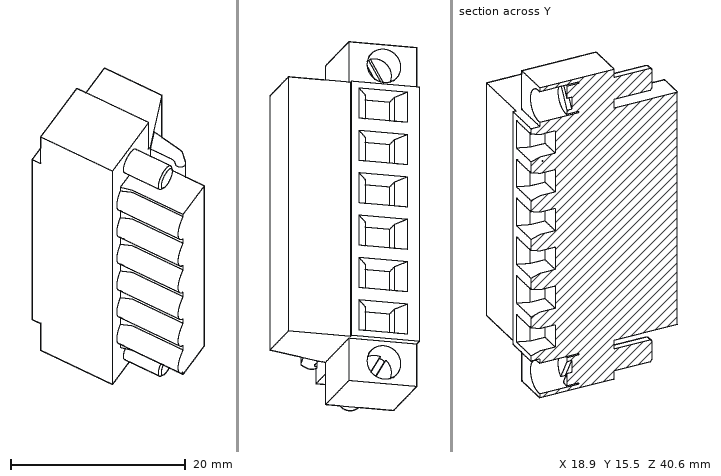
import cadquery as cq
import math

PITCH = 5.08
POLES = 6
TOTAL_LENGTH = 18.85
TOTAL_DEPTH = 15.5

HOUSING_X = 10.7
HOUSING_HEIGHT = POLES * PITCH
FRONT_DEPTH = 8.1
REAR_SETBACK = 0.4
SLOPE_TOP_X = 8.05
SLOPE_BOTTOM_Y = 8.45

FLANGE_SETBACK = 1.13
FLANGE_HEIGHT = PITCH
SCREW_Y = 3.92
SCREW_Z = (HOUSING_HEIGHT + FLANGE_HEIGHT) / 2
SCREW_BORE_DIAMETER = 4.0
SCREW_BORE_DEPTH = 5.0
SCREW_BORE_END_X = FLANGE_SETBACK + SCREW_BORE_DEPTH
HEAD_DIAMETER = 3.8
HEAD_HEIGHT = 1.5
SLOT_WIDTH = 0.75
SLOT_DEPTH = 0.6
SLOT_ANGLE = 30.0
PIN_DIAMETER = 3.0
PIN_END_X = 15.6
PIN_CHAMFER = 0.25

ENTRY_Y_RANGE = (1.47, 7.25)
ENTRY_HEIGHT = 3.6
THROAT_Y_RANGE = (2.67, 6.12)
THROAT_HEIGHT = 2.85
FUNNEL_DEPTH = 1.2
THROAT_DEPTH = 1.9

PLUG_FRONT_Y = 0.97
PLUG_BACK_Y = 6.86
PLATE_FRONT_Y = 2.09
PLATE_ROOT_Y = 1.74
RAMP_LENGTH = 1.4
BARREL_RADIUS = 2.6

LATCH_END_INSET = 0.5
LATCH_TOP_Y = 10.87
LATCH_ELBOW = (13.95, 10.12)
LATCH_BOTTOM_Y = 8.55
LATCH_TIP = (14.64, 8.58)
LATCH_TIP_RADIUS = 0.6
LATCH_BEND_RADIUS = 0.8

POLE_POSITIONS = [(i - (POLES - 1) / 2) * PITCH for i in range(POLES)]


def block(x_range, y_range, height, z_center=0.0):
    """Box given by its X and Y limits and its centred Z height."""
    length = x_range[1] - x_range[0]
    depth = y_range[1] - y_range[0]
    center = (x_range[0] + length / 2, y_range[0] + depth / 2, z_center)
    return cq.Workplane("XY").box(length, depth, height).translate(center)


def prism(sketch, height):
    """Extrude an XY outline symmetrically about Z = 0."""
    return sketch.close().extrude(height / 2, both=True)


def rod(diameter, x_start, x_end, y, z):
    """Cylinder along X."""
    return (
        cq.Workplane("YZ", origin=(x_start, y, z))
        .circle(diameter / 2)
        .extrude(x_end - x_start)
    )


def make_housing():
    outline = cq.Workplane("XY").polyline([
        (0, 0),
        (HOUSING_X, 0),
        (HOUSING_X, SLOPE_BOTTOM_Y),
        (SLOPE_TOP_X, TOTAL_DEPTH),
        (REAR_SETBACK, TOTAL_DEPTH),
        (REAR_SETBACK, FRONT_DEPTH),
        (0, FRONT_DEPTH),
    ])
    flanges = block(
        (FLANGE_SETBACK, HOUSING_X), (0, FRONT_DEPTH), HOUSING_HEIGHT + 2 * FLANGE_HEIGHT
    )
    return prism(outline, HOUSING_HEIGHT).union(flanges)


def make_wire_entry(z):
    """Tapered funnel followed by a straight throat."""
    entry_depth = ENTRY_Y_RANGE[1] - ENTRY_Y_RANGE[0]
    throat_width = THROAT_Y_RANGE[1] - THROAT_Y_RANGE[0]
    entry_center = sum(ENTRY_Y_RANGE) / 2
    throat_center = sum(THROAT_Y_RANGE) / 2
    funnel = (
        cq.Workplane("YZ", origin=(0, entry_center, z))
        .rect(entry_depth, ENTRY_HEIGHT)
        .workplane(offset=FUNNEL_DEPTH)
        .center(throat_center - entry_center, 0)
        .rect(throat_width, THROAT_HEIGHT)
        .loft(ruled=True)
    )
    throat = block((FUNNEL_DEPTH, FUNNEL_DEPTH + THROAT_DEPTH), THROAT_Y_RANGE, THROAT_HEIGHT, z)
    return funnel.union(throat)


def make_plug():
    plate_outline = cq.Workplane("XY").polyline([
        (HOUSING_X, PLATE_ROOT_Y),
        (HOUSING_X + RAMP_LENGTH, PLATE_FRONT_Y),
        (TOTAL_LENGTH, PLATE_FRONT_Y),
        (TOTAL_LENGTH, PLUG_BACK_Y),
        (HOUSING_X, PLUG_BACK_Y),
    ])
    plug = prism(plate_outline, HOUSING_HEIGHT)
    crown_zone = block((HOUSING_X, TOTAL_LENGTH), (PLUG_FRONT_Y, PLATE_FRONT_Y), HOUSING_HEIGHT)
    for z in POLE_POSITIONS:
        barrel = rod(
            2 * BARREL_RADIUS, HOUSING_X, TOTAL_LENGTH, PLUG_FRONT_Y + BARREL_RADIUS, z
        )
        plug = plug.union(barrel.intersect(crown_zone))
    return plug


def make_latch():
    """Arm rooted inside the housing, bent 45 degrees toward the plug to a rounded hook."""
    root_x = SLOPE_TOP_X
    slope_run_per_rise = (HOUSING_X - SLOPE_TOP_X) / (TOTAL_DEPTH - SLOPE_BOTTOM_Y)
    slope_x = SLOPE_TOP_X + (TOTAL_DEPTH - LATCH_TOP_Y) * slope_run_per_rise
    tip_x, tip_y = LATCH_TIP
    offset = LATCH_TIP_RADIUS * math.sqrt(0.5)
    lower_elbow_x = tip_x - offset - (LATCH_BOTTOM_Y - (tip_y - offset))
    outline = (
        cq.Workplane("XY")
        .moveTo(root_x, LATCH_BOTTOM_Y)
        .lineTo(lower_elbow_x, LATCH_BOTTOM_Y)
        .lineTo(tip_x - offset, tip_y - offset)
        .threePointArc((tip_x + offset, tip_y - offset), (tip_x + offset, tip_y + offset))
        .lineTo(*LATCH_ELBOW)
        .lineTo(slope_x, LATCH_TOP_Y)
        .lineTo(root_x, LATCH_TOP_Y)
    )
    latch = prism(outline, HOUSING_HEIGHT - 2 * LATCH_END_INSET)
    for elbow in ((lower_elbow_x, LATCH_BOTTOM_Y), LATCH_ELBOW):
        bend = cq.selectors.NearestToPointSelector((*elbow, 0))
        latch = latch.edges("|Z").edges(bend).fillet(LATCH_BEND_RADIUS)
    return latch


def make_screw_bore(z):
    return rod(SCREW_BORE_DIAMETER, FLANGE_SETBACK, SCREW_BORE_END_X, SCREW_Y, z)


def make_screw(z, slot_angle):
    """Slotted head standing in the flange bore."""
    head_x = SCREW_BORE_END_X - HEAD_HEIGHT
    head = rod(HEAD_DIAMETER, head_x, SCREW_BORE_END_X, SCREW_Y, z)
    slot = (
        cq.Workplane("XY")
        .box(2 * SLOT_DEPTH, SLOT_WIDTH, 2 * HEAD_DIAMETER)
        .rotate((0, 0, 0), (1, 0, 0), slot_angle)
        .translate((head_x, SCREW_Y, z))
    )
    return head.cut(slot)


def make_pin(z):
    """Chamfered screw end standing out of the flange."""
    return rod(PIN_DIAMETER, HOUSING_X, PIN_END_X, SCREW_Y, z).faces(">X").chamfer(PIN_CHAMFER)


result = make_housing().union(make_plug()).union(make_latch())

for pole_z in POLE_POSITIONS:
    result = result.cut(make_wire_entry(pole_z))

for side in (1, -1):
    screw_z = side * SCREW_Z
    bore = make_screw_bore(screw_z)
    result = result.cut(bore).union(make_screw(screw_z, -side * SLOT_ANGLE)).union(make_pin(screw_z))